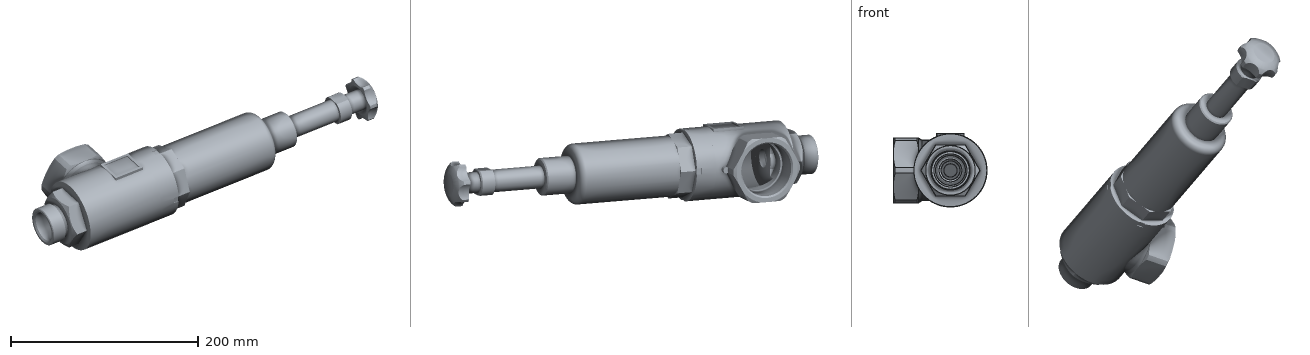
import cadquery as cq
import math


inlet_collar_top = 16.5
inlet_hex_bottom = 19.7
body_bottom = 35.5
chamber_bottom = 56.0
ring_bottom = 126.5
ring_top = 148.5
octagon_top = 165.5
bonnet_top = 280.0
collar_top = 314.0
nut_bottom = 372.5
nut_top = 388.0
knob_bottom = 405.0
knob_top = 420.0

body_radius = 39.0
chamber_radius = 32.8
outlet_y = 76.5
outlet_face_x = -61.0
outlet_hex_length = 27.0
outlet_hex_apothem = 35.0
outlet_round_radius = 38.5
outlet_bevel_width = 3.5
outlet_bevel_length = 1.5
outlet_neck_radius = 32.5
outlet_cone_radius = 34.5
outlet_cone_length = 3.5
outlet_bore_radius = 28.5
outlet_bore_bevel = 1.5
outlet_bore_depth = 26.0
outlet_window_radius = 26.5
lug_radius = 3.5
lug_y = 116.8
lug_end_x = -44.5

frame_width = 29.5
frame_length = 35.3
frame_border = 3.0
frame_y = 101.5
frame_top_z = 39.5
frame_floor_z = 38.2

inlet_thread_radius = 21.0
inlet_relief_radius = 19.0
inlet_hex_apothem = 27.5
inlet_hex_bevel_radius = 26.5
inlet_hex_bevel_height = 3.8
inlet_bore_radius = 16.0
inlet_bore_bevel = 1.5
seat_radius = 10.0
seat_bevel = 2.0
seat_thickness = 8.5
end_bevel = 1.0

ring_hole_radius = 30.2
notch_width = 6.7
notch_length = 6.0
notch_depth = 1.0
notch_count = 4

bonnet_radius = 32.8
bonnet_fillet = 6.7
octagon_corner_radius = 35.3
collar_radius = 20.0
collar_bevel = 1.3

spindle_radius = 12.0
stem_radius = 11.5
tip_radius = 7.0
tip_length = 12.5
nut_radius = 15.5
nut_flat_distance = 13.5
nut_bevel = 1.3

knob_radius = 24.5
knob_crown_radius = 12.5
knob_rim_height = 7.5
knob_shoulder_radius = 21.0
knob_shoulder_drop = 3.8
knob_socket_depth = 8.5
knob_recess_radius = 17.0
knob_recess_depth = 3.5
scallop_count = 7
scallop_radius = 17.0
scallop_reach = 20.0


def hexagon_corner(apothem):
    """Corner radius of a hexagon with the given apothem."""
    return apothem / math.cos(math.pi / 6)


def section(y):
    """Plane across the main axis at the given level; extrude by a negative length to go up."""
    return cq.Workplane("XZ", origin=(0, y, 0))


def rod(radius, bottom, top):
    """Cylinder on the main axis between two levels."""
    return section(bottom).circle(radius).extrude(bottom - top)


def prism(corner_radius, sides, bottom, top):
    """Regular prism on the main axis with one corner towards +X."""
    return section(bottom).polygon(sides, 2 * corner_radius).extrude(bottom - top)


def turned(profile):
    """Solid of revolution about the main axis from (radius, level) points."""
    return cq.Workplane("XY").polyline(profile).close().revolve(360, (0, 0, 0), (0, 1, 0))


def outlet_turned(profile):
    """Solid of revolution about the outlet axis from (X position, radius) points."""
    plane = cq.Workplane("XY", origin=(0, outlet_y, 0))
    return plane.polyline(profile).close().revolve(360, (0, 0, 0), (1, 0, 0))


def make_outlet_boss():
    """Hexagonal outlet end with rounded corners, and the cone and round neck behind it."""
    hex_end_x = outlet_face_x + outlet_hex_length
    face = cq.Workplane("YZ", origin=(outlet_face_x, outlet_y, 0))
    hexagon = face.polygon(6, 2 * hexagon_corner(outlet_hex_apothem)).extrude(outlet_hex_length)
    limit = outlet_turned([
        (outlet_face_x, 0),
        (outlet_face_x, outlet_round_radius - outlet_bevel_width),
        (outlet_face_x + outlet_bevel_length, outlet_round_radius),
        (hex_end_x - outlet_bevel_length, outlet_round_radius),
        (hex_end_x, outlet_round_radius - outlet_bevel_width),
        (hex_end_x, 0),
    ])
    neck = outlet_turned([
        (hex_end_x, 0),
        (hex_end_x, outlet_cone_radius),
        (hex_end_x + outlet_cone_length, outlet_neck_radius),
        (0, outlet_neck_radius),
        (0, 0),
    ])
    return hexagon.intersect(limit).union(neck)


def make_outlet_bore():
    """Stepped outlet bore that opens as a full circle into the side of the chamber."""
    step_x = outlet_face_x + outlet_bore_depth
    window_end_x = -math.sqrt(chamber_radius**2 - outlet_window_radius**2)
    return outlet_turned([
        (outlet_face_x, 0),
        (outlet_face_x, outlet_bore_radius + outlet_bore_bevel),
        (outlet_face_x + outlet_bore_bevel, outlet_bore_radius),
        (step_x, outlet_bore_radius),
        (step_x, outlet_window_radius),
        (window_end_x, outlet_window_radius),
        (window_end_x, 0),
    ])


def make_frame():
    """Flat raised pad on top of the body, before its panel is sunk."""
    pad = cq.Workplane("XY", origin=(0, frame_y, 0)).rect(frame_width, frame_length)
    return pad.extrude(frame_top_z)


def make_frame_panel():
    """Pocket inside the border of the raised frame."""
    panel = cq.Workplane("XY", origin=(0, frame_y, frame_floor_z))
    panel = panel.rect(frame_width - 2 * frame_border, frame_length - 2 * frame_border)
    return panel.extrude(frame_top_z - frame_floor_z)


def make_body():
    lug = cq.Workplane("YZ", origin=(lug_end_x, lug_y, 0)).circle(lug_radius).extrude(-lug_end_x)
    outside = rod(body_radius, body_bottom, ring_bottom).union(make_outlet_boss()).union(make_frame()).union(lug)
    chamber = rod(chamber_radius, chamber_bottom, ring_bottom)
    inlet_hole = rod(inlet_thread_radius, body_bottom, chamber_bottom)
    return outside.cut(chamber).cut(inlet_hole).cut(make_outlet_bore()).cut(make_frame_panel())


def make_inlet_fitting():
    """Threaded inlet with a bevelled hexagon and a shank that fills the hole in the body."""
    hex_corner = hexagon_corner(inlet_hex_apothem)
    hexagon = prism(hex_corner, 6, inlet_hex_bottom, body_bottom)
    hexagon = hexagon.intersect(turned([
        (0, inlet_hex_bottom),
        (inlet_hex_bevel_radius, inlet_hex_bottom),
        (hex_corner, inlet_hex_bottom + inlet_hex_bevel_height),
        (hex_corner, body_bottom),
        (0, body_bottom),
    ]))
    thread = rod(inlet_thread_radius, 0, inlet_collar_top).faces("<Y or >Y").chamfer(end_bevel)
    relief = rod(inlet_relief_radius, inlet_collar_top, inlet_hex_bottom)
    shank = rod(inlet_thread_radius, body_bottom, chamber_bottom)
    seat_bottom = chamber_bottom - seat_thickness
    bore = turned([
        (0, 0),
        (inlet_bore_radius + inlet_bore_bevel, 0),
        (inlet_bore_radius, inlet_bore_bevel),
        (inlet_bore_radius, seat_bottom),
        (seat_radius + seat_bevel, seat_bottom),
        (seat_radius, seat_bottom + seat_bevel),
        (seat_radius, chamber_bottom),
        (0, chamber_bottom),
    ])
    return thread.union(relief).union(hexagon).union(shank).cut(bore)


def make_locking_ring():
    """Ring between body and bonnet with shallow square notches around its upper edge."""
    ring = rod(body_radius, ring_bottom, ring_top).cut(rod(ring_hole_radius, ring_bottom, ring_top))
    notch = (
        cq.Workplane("XY", origin=(0, ring_top - notch_length / 2, body_radius - notch_depth))
        .rect(notch_width, notch_length)
        .extrude(2 * notch_depth)
    )
    for i in range(notch_count):
        ring = ring.cut(notch.rotate((0, 0, 0), (0, 1, 0), i * 360 / notch_count))
    return ring


def make_spindle():
    """Spindle with a thinner tip at the chamber and a stem above the jam nut."""
    knob_seat = knob_bottom + knob_socket_depth
    return turned([
        (0, ring_bottom),
        (tip_radius, ring_bottom),
        (tip_radius, ring_bottom + tip_length),
        (spindle_radius, ring_bottom + tip_length),
        (spindle_radius, nut_bottom),
        (stem_radius, nut_bottom),
        (stem_radius, knob_seat),
        (0, knob_seat),
    ])


def make_bonnet(spindle):
    """Round-shouldered cylinder on an octagon, with a spigot that fills the locking ring."""
    cylinder = rod(bonnet_radius, octagon_top, bonnet_top).faces(">Y").edges().fillet(bonnet_fillet)
    octagon = prism(octagon_corner_radius, 8, ring_top, octagon_top)
    spigot = rod(ring_hole_radius, ring_bottom, ring_top)
    return cylinder.union(octagon).union(spigot).cut(spindle)


def make_collar(spindle):
    collar = rod(collar_radius, bonnet_top, collar_top).faces("<Y or >Y").chamfer(collar_bevel)
    return collar.cut(spindle)


def make_jam_nut():
    """Round nut with a bevelled upper end and two flats facing up and down."""
    nut = rod(nut_radius, nut_bottom, nut_top).faces(">Y").chamfer(nut_bevel)
    flats = section(nut_bottom).rect(2 * nut_radius, 2 * nut_flat_distance).extrude(nut_bottom - nut_top)
    return nut.intersect(flats).cut(rod(stem_radius, nut_bottom, nut_top))


def make_knob(spindle):
    """Domed knob with scallops around its rim and a conical recess around the stem."""
    dome = (
        cq.Workplane("XY")
        .moveTo(0, knob_bottom)
        .lineTo(knob_radius, knob_bottom)
        .lineTo(knob_radius, knob_bottom + knob_rim_height)
        .threePointArc((knob_shoulder_radius, knob_top - knob_shoulder_drop), (knob_crown_radius, knob_top))
        .lineTo(0, knob_top)
        .close()
        .revolve(360, (0, 0, 0), (0, 1, 0))
    )
    scallops = (
        section(knob_bottom)
        .polarArray(scallop_reach + scallop_radius, 90, 360, scallop_count)
        .circle(scallop_radius)
        .extrude(knob_bottom - knob_top)
    )
    recess = turned([
        (0, knob_bottom),
        (knob_recess_radius, knob_bottom),
        (stem_radius, knob_bottom + knob_recess_depth),
        (0, knob_bottom + knob_recess_depth),
    ])
    return dome.cut(scallops).cut(recess).cut(spindle)


body = make_body()
inlet_fitting = make_inlet_fitting()
locking_ring = make_locking_ring()
spindle = make_spindle()
bonnet = make_bonnet(spindle)
collar = make_collar(spindle)
jam_nut = make_jam_nut()
knob = make_knob(spindle)

result = cq.Compound.makeCompound([
    body.val(),
    inlet_fitting.val(),
    locking_ring.val(),
    spindle.val(),
    bonnet.val(),
    collar.val(),
    jam_nut.val(),
    knob.val(),
])